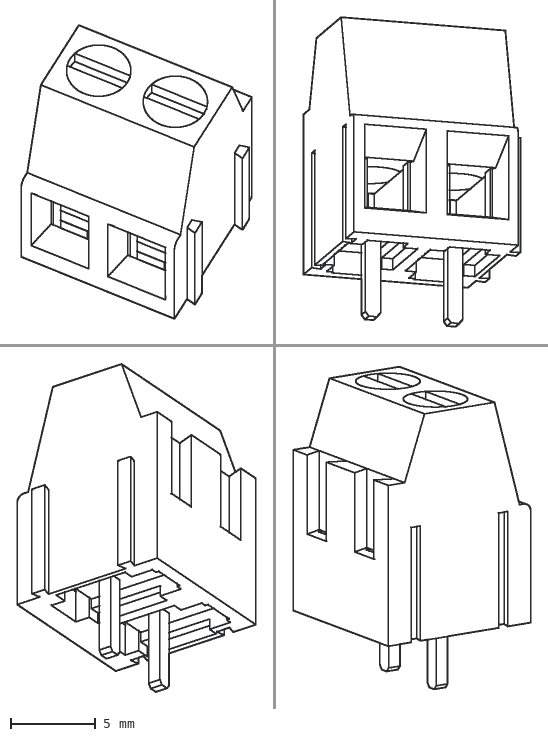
import cadquery as cq


PITCH = 5.078
CELL_SHIFT = 0.04
CELLS = 2
WIDTH = CELLS * PITCH
DEPTH = 10.1
HEIGHT = 13.8
TOP_DEPTH = 4.96
REAR_LEDGE_HEIGHT = 9.8
REAR_LEDGE_DEPTH = 1.16
FRONT_LEDGE_HEIGHT = 7.3
FRONT_LEDGE_DEPTH = 0.8
FRONT_EDGE_RADIUS = 0.5
FRONT = -DEPTH / 2
BACK = DEPTH / 2
CELL_CENTRES = [(cell - (CELLS - 1) / 2) * PITCH + CELL_SHIFT for cell in range(CELLS)]

JOINT_NECK = 0.63
JOINT_HEAD = 0.92
JOINT_REACH = 0.6
JOINT_HEIGHT = 7.0
JOINT_OFFSET = 3.1

CHAMBER_ROOF = 4.98
CHAMBER_WIDTH = 2.94
CHAMBER_FRONT = -2.48
CHAMBER_BACK = 3.98
THROAT_WIDTH = 2.5

FOOT_WIDTH = 4.3
FOOT_HEIGHT = 0.69

FUNNEL_WIDTH = 3.8
FUNNEL_BOTTOM = 1.51
FUNNEL_TOP = 6.64
FUNNEL_INNER_WIDTH = 2.8
FUNNEL_FLOOR = 2.02
FUNNEL_DEPTH = 1.6
FUNNEL_ROOF_DEPTH = 1.27

NOTCH_FRONT_WIDTH = CHAMBER_WIDTH
NOTCH_BACK_WIDTH = 2.05
SLOT_WIDTH = 2.18
SLOT_DEPTH = 0.2

SCREW_DIAMETER = 3.8
SCREW_LENGTH = HEIGHT - CHAMBER_ROOF
DRIVE_WIDTH = 1.02
DRIVE_DEPTH = 0.81

CLAMP_TOP = 2.29
CLAMP_HEIGHT = 0.97
CLAMP_BOTTOM = CLAMP_TOP - CLAMP_HEIGHT

PIN_WIDTH = 0.95
PIN_THICKNESS = 0.81
PIN_Y = -0.14
PIN_LENGTH = 3.8
PIN_TIP_HEIGHT = 0.26
PIN_TIP_INSET = 0.21


def box(width, x, front, back, bottom, top):
    """Box centred on x, between the given limits in Y and Z."""
    return cq.Workplane().box(width, back - front, top - bottom, centered=(True, False, False)).translate(
        (x, front, bottom)
    )


def plan_taper(front_width, back_width, front, back, bottom, top):
    """Upright prism centred on X = 0 whose width changes from front to back."""
    outline = [
        (-front_width / 2, front),
        (front_width / 2, front),
        (back_width / 2, back),
        (-back_width / 2, back),
    ]
    return cq.Workplane().workplane(offset=bottom).polyline(outline).close().extrude(top - bottom)


def housing_shell():
    """Stepped and sloped side profile with a rounded front edge, run along X."""
    return (
        cq.Workplane("YZ", origin=(-WIDTH / 2, 0, 0))
        .moveTo(FRONT, 0)
        .lineTo(BACK, 0)
        .lineTo(BACK, REAR_LEDGE_HEIGHT)
        .lineTo(BACK - REAR_LEDGE_DEPTH, REAR_LEDGE_HEIGHT)
        .lineTo(TOP_DEPTH / 2, HEIGHT)
        .lineTo(-TOP_DEPTH / 2, HEIGHT)
        .lineTo(FRONT + FRONT_LEDGE_DEPTH, FRONT_LEDGE_HEIGHT)
        .lineTo(FRONT + FRONT_EDGE_RADIUS, FRONT_LEDGE_HEIGHT)
        .radiusArc((FRONT, FRONT_LEDGE_HEIGHT - FRONT_EDGE_RADIUS), -FRONT_EDGE_RADIUS)
        .close()
        .extrude(WIDTH)
    )


def dovetail(side, y):
    """Dovetail bar pointing to +X, with its neck on the plane X = side."""
    outline = [
        (side, y - JOINT_NECK / 2),
        (side + JOINT_REACH, y - JOINT_HEAD / 2),
        (side + JOINT_REACH, y + JOINT_HEAD / 2),
        (side, y + JOINT_NECK / 2),
    ]
    return cq.Workplane().polyline(outline).close().extrude(JOINT_HEIGHT)


def wire_funnel():
    """Opening that narrows from the front face to the chamber, with a steep ramp at its top."""
    inner_end = FRONT + FUNNEL_DEPTH
    side_profile = [
        (FRONT, FUNNEL_BOTTOM),
        (inner_end, FUNNEL_FLOOR),
        (inner_end, CHAMBER_ROOF),
        (FRONT + FUNNEL_ROOF_DEPTH, CHAMBER_ROOF),
        (FRONT, FUNNEL_TOP),
    ]
    profile = cq.Workplane("YZ").polyline(side_profile).close().extrude(FUNNEL_WIDTH / 2, both=True)
    return profile.intersect(plan_taper(FUNNEL_WIDTH, FUNNEL_INNER_WIDTH, FRONT, inner_end, 0, FUNNEL_TOP))


def clamp_chamber():
    """Chamber with a narrower throat in front, a slot behind and a wider foot, all open downwards."""
    throat = box(THROAT_WIDTH, 0, FRONT + FUNNEL_DEPTH, CHAMBER_FRONT, 0, CHAMBER_ROOF)
    chamber = box(CHAMBER_WIDTH, 0, CHAMBER_FRONT, CHAMBER_BACK, 0, CHAMBER_ROOF)
    slot = box(SLOT_WIDTH, 0, CHAMBER_BACK, CHAMBER_BACK + SLOT_DEPTH, 0, CHAMBER_ROOF)
    foot = box(FOOT_WIDTH, 0, CHAMBER_FRONT, -CHAMBER_FRONT, 0, FOOT_HEIGHT)
    return chamber.union(throat).union(slot).union(foot)


def rear_notch():
    """Dovetail notch from the rear ledge down to the level of the chamber roof."""
    front = BACK - REAR_LEDGE_DEPTH
    return plan_taper(NOTCH_FRONT_WIDTH, NOTCH_BACK_WIDTH, front, BACK, CHAMBER_ROOF, REAR_LEDGE_HEIGHT)


def screw_bore():
    """Round bore from the top of the housing to the chamber roof."""
    return cq.Workplane().workplane(offset=CHAMBER_ROOF).circle(SCREW_DIAMETER / 2).extrude(SCREW_LENGTH)


def make_housing():
    housing = housing_shell()
    for y in (-JOINT_OFFSET, JOINT_OFFSET):
        housing = housing.union(dovetail(WIDTH / 2, y)).cut(dovetail(-WIDTH / 2, y))
    for x in CELL_CENTRES:
        for opening in (wire_funnel(), clamp_chamber(), rear_notch(), screw_bore()):
            housing = housing.cut(opening.translate((x, 0, 0)))
    return housing


def make_screw(x):
    """Slotted screw, flush with the top of the housing."""
    half_drive = DRIVE_WIDTH / 2
    drive = box(SCREW_DIAMETER, 0, -half_drive, half_drive, HEIGHT - DRIVE_DEPTH, HEIGHT)
    return screw_bore().cut(drive).translate((x, 0, 0))


def make_clamp(x):
    """Plain block across the chamber, under the wire."""
    return box(CHAMBER_WIDTH, x, CHAMBER_FRONT, CHAMBER_BACK, CLAMP_BOTTOM, CLAMP_TOP)


def make_pin(x):
    """Flat solder pin below the clamp block, with its tip narrowed in X."""
    half_width = PIN_WIDTH / 2
    half_tip = half_width - PIN_TIP_INSET
    tip_top = PIN_TIP_HEIGHT - PIN_LENGTH
    outline = [
        (-half_width, CLAMP_BOTTOM),
        (-half_width, tip_top),
        (-half_tip, -PIN_LENGTH),
        (half_tip, -PIN_LENGTH),
        (half_width, tip_top),
        (half_width, CLAMP_BOTTOM),
    ]
    bar = cq.Workplane("XZ").polyline(outline).close().extrude(PIN_THICKNESS / 2, both=True)
    return bar.translate((x, PIN_Y, 0))


housing = make_housing()
screws = [make_screw(x) for x in CELL_CENTRES]
clamps = [make_clamp(x) for x in CELL_CENTRES]
pins = [make_pin(x) for x in CELL_CENTRES]

result = cq.Compound.makeCompound([body.val() for body in [housing, *screws, *clamps, *pins]])